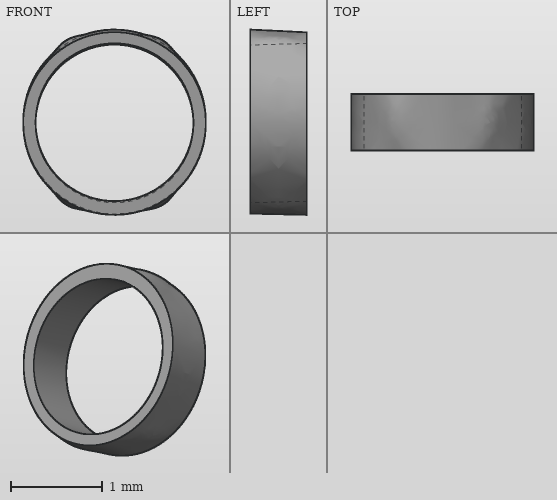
import cadquery as cq
import math

outer_diameter = 2.0
width = 0.62
overall_height = 2.03

outer_radius = outer_diameter / 2
rear_bottom_rise = 0.015
rear_top_rise = overall_height - outer_diameter
rear_centre_z = (rear_top_rise + rear_bottom_rise) / 2
rear_half_height = outer_radius + (rear_top_rise - rear_bottom_rise) / 2

bore_radius = 0.863
bore_front_z = 0.016
bore_rear_z = 0.0

swell_height = 0.04
swell_angles = (60, 120, 240, 300)

angle_step = 15


def section(y, centre_z, half_x, half_z, swell=0.0):
    """Closed oval curve at one Y position, starting at -X, with an optional swell."""
    points = []
    for angle in range(180, 540, angle_step):
        extra = swell if angle % 360 in swell_angles else 0.0
        x = (half_x + extra) * math.cos(math.radians(angle))
        z = (half_z + extra) * math.sin(math.radians(angle))
        points.append(cq.Vector(x, y, centre_z + z))
    return cq.Wire.assembleEdges([cq.Edge.makeSpline(points, periodic=True)])


def outer_body():
    """Solid inside the outer wall: front circle, swollen middle and oval rear."""
    middle_half_height = (outer_radius + rear_half_height) / 2
    sections = [
        section(-width / 2, 0, outer_radius, outer_radius),
        section(0, rear_centre_z / 2, outer_radius, middle_half_height, swell_height),
        section(width / 2, rear_centre_z, outer_radius, rear_half_height),
    ]
    return cq.Workplane(obj=cq.Solid.makeLoft(sections))


def bore():
    """Round bore leaning slightly downwards towards the rear."""
    sections = [
        section(-width / 2, bore_front_z, bore_radius, bore_radius),
        section(width / 2, bore_rear_z, bore_radius, bore_radius),
    ]
    return cq.Workplane(obj=cq.Solid.makeLoft(sections, True))


result = outer_body().cut(bore())